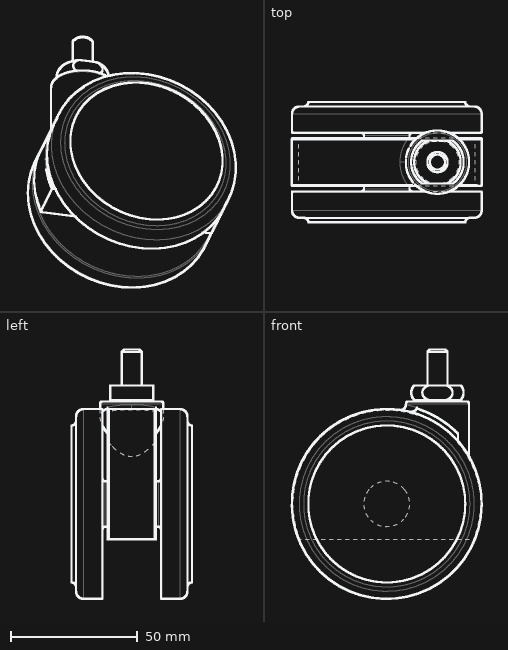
import cadquery as cq


WHEEL_RADIUS = 37.5
HOUSING_HALF_WIDTH = 9.5
RIM_ROUND = 0.5
SWIVEL_X = 20.0
NECK_TOP_Z = 40.5

HOUSING_RADIUS = WHEEL_RADIUS
HOUSING_BOTTOM_Z = -14.0
NECK_RADIUS = 12.5
NECK_EDGE_ROUND = 1.0
NECK_BLEND_RADIUS = 2.0
WHEEL_CLEARANCE = 2.0
WHEEL_POCKET_RADIUS = WHEEL_RADIUS + WHEEL_CLEARANCE
SEAM_MARGIN = 1.0

WHEEL_INNER_Y = 11.5
WHEEL_FACE_Y = 22.0
WHEEL_OUTER_Y = 23.8
TREAD_ROUND = 3.0
COVER_RADIUS = 31.0
HUB_RADIUS = 9.0
HUB_ROOT_FILLET = 1.0

STEM_TOP_Z = 61.0
STEM_RADIUS = 4.0
STEM_CHAMFER = 1.0
NUT_BOTTOM_Z = 41.0
NUT_TOP_Z = 46.8
NUT_END_RADIUS = 9.2
NUT_BULGE_RADIUS = 10.4
NUT_ACROSS_FLATS = 17.0
COLLAR_RADIUS = 8.5


def disc(radius, half_width):
    """Cylinder about the Y axis, centred on the origin."""
    return cq.Workplane("XZ").circle(radius).extrude(half_width, both=True)


def neck_cylinder():
    """Vertical swivel neck, from the wheel axis level up to its top face."""
    return cq.Workplane("XY").center(SWIVEL_X, 0).circle(NECK_RADIUS).extrude(NECK_TOP_Z)


def neck_blend():
    """Concave blend between the housing rim and the side of the neck facing -X."""
    upper_half = cq.Workplane("XY").box(
        2 * HOUSING_RADIUS, 4 * NECK_RADIUS, HOUSING_RADIUS, centered=(True, True, False)
    )
    wide_drum = disc(HOUSING_RADIUS, 2 * NECK_RADIUS).intersect(upper_half)
    joined = wide_drum.union(neck_cylinder())
    seam_area = cq.selectors.BoxSelector(
        (SWIVEL_X - NECK_RADIUS - SEAM_MARGIN, -NECK_RADIUS - SEAM_MARGIN, SEAM_MARGIN),
        (SWIVEL_X + NECK_RADIUS + SEAM_MARGIN, NECK_RADIUS + SEAM_MARGIN, NECK_TOP_Z - SEAM_MARGIN),
        boundingbox=True,
    )
    blended = joined.edges(seam_area).edges("not %LINE").fillet(NECK_BLEND_RADIUS)
    blend_ring = blended.cut(joined)
    housing_strip = cq.Workplane("XY").box(
        SWIVEL_X, 2 * HOUSING_HALF_WIDTH, NECK_TOP_Z, centered=(False, True, False)
    )
    return blend_ring.intersect(housing_strip)


def make_housing():
    """Rounded-rim drum with a flat underside, carrying the swivel neck."""
    drum = disc(HOUSING_RADIUS, HOUSING_HALF_WIDTH).edges("%CIRCLE").fillet(RIM_ROUND)
    underside_cut = (
        cq.Workplane("XY").workplane(offset=HOUSING_BOTTOM_Z)
        .rect(4 * HOUSING_RADIUS, 4 * HOUSING_HALF_WIDTH)
        .extrude(-HOUSING_RADIUS)
    )
    drum = drum.cut(underside_cut)
    between_wheels = disc(2 * WHEEL_POCKET_RADIUS, HOUSING_HALF_WIDTH)
    wheel_pockets = disc(WHEEL_POCKET_RADIUS, 2 * NECK_RADIUS).cut(between_wheels)
    neck = neck_cylinder().faces(">Z").edges().fillet(NECK_EDGE_ROUND).cut(wheel_pockets)
    return drum.union(neck).union(neck_blend())


def make_wheel(side):
    """One wheel with its hub; side is +1 for the +Y wheel and -1 for the -Y wheel."""
    step = WHEEL_OUTER_Y - WHEEL_FACE_Y
    profile = (
        cq.Workplane("XY")
        .moveTo(0, HOUSING_HALF_WIDTH)
        .lineTo(HUB_RADIUS, HOUSING_HALF_WIDTH)
        .lineTo(HUB_RADIUS, WHEEL_INNER_Y - HUB_ROOT_FILLET)
        .radiusArc((HUB_RADIUS + HUB_ROOT_FILLET, WHEEL_INNER_Y), HUB_ROOT_FILLET)
        .lineTo(WHEEL_RADIUS - RIM_ROUND, WHEEL_INNER_Y)
        .radiusArc((WHEEL_RADIUS, WHEEL_INNER_Y + RIM_ROUND), -RIM_ROUND)
        .lineTo(WHEEL_RADIUS, WHEEL_FACE_Y - TREAD_ROUND)
        .radiusArc((WHEEL_RADIUS - TREAD_ROUND, WHEEL_FACE_Y), -TREAD_ROUND)
        .lineTo(COVER_RADIUS + step, WHEEL_FACE_Y)
        .radiusArc((COVER_RADIUS, WHEEL_OUTER_Y), step)
        .lineTo(0, WHEEL_OUTER_Y)
        .close()
    )
    wheel = profile.revolve(360, (0, 0, 0), (0, 1, 0))
    if side < 0:
        wheel = wheel.mirror("XZ")
    return wheel


def make_stem():
    """Stem pin, its two-flat barrel nut and the thin collar resting on the neck."""
    nut_middle_z = (NUT_BOTTOM_Z + NUT_TOP_Z) / 2
    nut = (
        cq.Workplane("XZ")
        .moveTo(0, NUT_BOTTOM_Z)
        .lineTo(NUT_END_RADIUS, NUT_BOTTOM_Z)
        .threePointArc((NUT_BULGE_RADIUS, nut_middle_z), (NUT_END_RADIUS, NUT_TOP_Z))
        .lineTo(0, NUT_TOP_Z)
        .close()
        .revolve(360, (0, 0, 0), (0, 1, 0))
    )
    between_flats = cq.Workplane("XY").box(4 * NUT_BULGE_RADIUS, NUT_ACROSS_FLATS, 2 * STEM_TOP_Z)
    nut = nut.intersect(between_flats)
    collar = (
        cq.Workplane("XY").workplane(offset=NECK_TOP_Z)
        .circle(COLLAR_RADIUS).extrude(NUT_BOTTOM_Z - NECK_TOP_Z)
    )
    pin = (
        cq.Workplane("XY").workplane(offset=NECK_TOP_Z)
        .circle(STEM_RADIUS).extrude(STEM_TOP_Z - NECK_TOP_Z)
        .faces(">Z").chamfer(STEM_CHAMFER)
    )
    return pin.union(collar).union(nut).translate((SWIVEL_X, 0, 0))


housing = make_housing()
stem = make_stem()
wheels = [make_wheel(side) for side in (1, -1)]

result = cq.Compound.makeCompound([housing.val(), stem.val(), *[wheel.val() for wheel in wheels]])